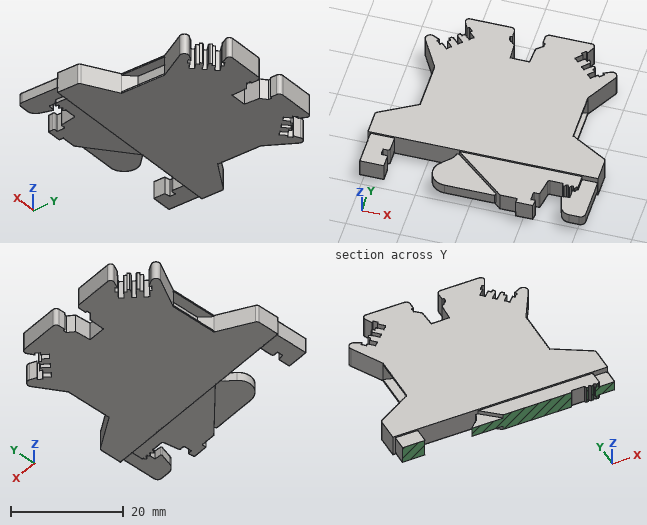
import cadquery as cq
import math


housing_thickness = 4.2
foot_thickness = 3.55
lever_thickness = 2.05

half_width = 21.25
waist_half_width = 14.15
housing_top = 31.4
shoulder_low = 4.8
waist_bottom = 8.9
waist_top = 18.5
shoulder_radius = 0.65

arm_tip = (-18.95, 26.9)
arm_tip_radius = 0.9
head_outer_x = -12.32
head_inner_x = -2.8
head_outer_radius = 0.7
head_inner_radius = 0.8

slot_floor_y = 24.2
slot_floor_half = 1.8
slot_mouth_half = 1.95
slot_mouth_y = 27.45
undercut_half = 3.2
undercut_bottom = 28.5
undercut_top = 29.25

comb_origin = (-11.3, 25.25)
comb_angle = math.radians(45)
comb_half = 2.8
comb_notch_half = 3.27
comb_notch_low = 1.57
comb_lip = 2.55
tooth_inner = 0.42
tooth_step = 1.15
tooth_outer = 1.8
tooth_shoulder = 1.5
tooth_tip = 2.0
tooth_chamfer = 0.25

pocket_depth = 2.05
pocket_top_drop = 0.65
pocket_bottom_rise = 2.12

tooth_pitch = 0.98
first_tooth_x = 15.8
rail_tooth_tip = -3.15
rail_tooth_root = -2.68
rail_tooth_half = 0.35
rail_tooth_tip_half = 0.1
rail_tooth_count = 3
rail_seat_y = -2.5
foot_right_x = 18.3

lever_center = (-4.9, -4.97)
lever_radius = 2.98
lever_neck_radius = 1.95
lever_end_x = 4.35
foot_slope_start = (-4.38, 0)
foot_slope_end = (5.5, -8.3)
hook_setback = 0.05
overlap = 0.42


def rounded_outline(corners):
    """Closed outline through (x, y, radius) corners; radius 0 leaves a sharp corner."""
    path = None
    count = len(corners)
    for i, (x, y, radius) in enumerate(corners):
        corner = cq.Vector(x, y)
        if radius == 0:
            stops = [corner]
        else:
            before = (cq.Vector(*corners[i - 1][:2]) - corner).normalized()
            after = (cq.Vector(*corners[(i + 1) % count][:2]) - corner).normalized()
            half_angle = before.getAngle(after) / 2
            tangent_length = radius / math.tan(half_angle)
            middle_distance = radius / math.sin(half_angle) - radius
            middle = corner + (before + after).normalized() * middle_distance
            stops = [corner + before * tangent_length, middle, corner + after * tangent_length]
        if path is None:
            path = cq.Workplane("XY").moveTo(stops[0].x, stops[0].y)
        else:
            path = path.lineTo(stops[0].x, stops[0].y)
        if radius > 0:
            path = path.threePointArc(stops[1].toTuple()[:2], stops[2].toTuple()[:2])
    return path.close()


def plate(outline, thickness):
    return outline.extrude(thickness / 2, both=True)


def sharp(points):
    return [(x, y, 0) for x, y in points]


def comb_corners():
    """Left comb from its upper lip to its lower lip."""
    half_comb = [
        (comb_half, comb_lip),
        (comb_notch_half, comb_lip),
        (comb_notch_half, comb_notch_low),
        (comb_half, comb_notch_low),
        (comb_half, 0),
        (tooth_outer, 0),
        (tooth_outer, tooth_shoulder),
        (tooth_step, tooth_shoulder),
        (tooth_step, tooth_tip),
        (tooth_inner + tooth_chamfer, tooth_tip),
        (tooth_inner, tooth_tip - tooth_chamfer),
        (tooth_inner, 0),
    ]
    full_comb = half_comb + [(-along, out) for along, out in reversed(half_comb)]
    c = math.cos(comb_angle)
    s = math.sin(comb_angle)
    x0, y0 = comb_origin
    return sharp((x0 + along * c - out * s, y0 + along * s + out * c) for along, out in full_comb)


def make_housing():
    slot_side = sharp([
        (-slot_floor_half, slot_floor_y),
        (-slot_mouth_half, slot_mouth_y),
        (-undercut_half, undercut_bottom),
        (-undercut_half, undercut_top),
        (head_inner_x, undercut_top),
    ])
    head = [
        (head_inner_x, housing_top, head_inner_radius),
        (head_outer_x, housing_top, head_outer_radius),
    ]
    flank = [
        (*arm_tip, arm_tip_radius),
        (-waist_half_width, waist_top, 0),
        (-waist_half_width, waist_bottom, 0),
        (-half_width, shoulder_low, shoulder_radius),
        (-half_width, 0, 0),
    ]
    left = slot_side + head + comb_corners() + flank
    right = [(-x, y, radius) for x, y, radius in reversed(left)]
    return plate(rounded_outline(left + right), housing_thickness)


def make_pocket():
    """Cutter for the tapered pocket in the left waist."""
    floor_x = pocket_depth - waist_half_width
    outline = rounded_outline(sharp([
        (-waist_half_width, waist_bottom),
        (floor_x, waist_bottom + pocket_bottom_rise),
        (floor_x, waist_top - pocket_top_drop),
        (-waist_half_width, waist_top),
    ]))
    return plate(outline, foot_thickness)


def make_fixed_foot():
    outer_x, inner_x, bottom = -20.8, -16.3, -7.0
    notch_x, notch_top, notch_bottom = -17.55, -3.15, -4.35
    notch_lip_drop = 0.2
    notch_radius = 0.42
    return plate(rounded_outline([
        (outer_x, overlap, 0),
        (outer_x, bottom, 0),
        (inner_x, bottom, 0),
        (inner_x, notch_bottom - notch_lip_drop, 0),
        (notch_x, notch_bottom, 0),
        (notch_x, notch_top, 0),
        (inner_x, notch_top, notch_radius),
        (inner_x, overlap, 0),
    ]), foot_thickness)


def rail_teeth_corners():
    corners = []
    for i in range(rail_tooth_count):
        x = first_tooth_x + i * tooth_pitch
        corners += [
            (x - rail_tooth_half, rail_tooth_root),
            (x - rail_tooth_tip_half, rail_tooth_tip),
            (x + rail_tooth_tip_half, rail_tooth_tip),
            (x + rail_tooth_half, rail_tooth_root),
        ]
    return sharp(corners)


def make_clamp_foot():
    """Broad foot with the sloped lever side, the stepped claw and the rail teeth."""
    toe_left, toe_right, toe_bottom = 8.63, 11.77, -9.2
    toe_lip_x = 11.95
    claw_x, claw_bottom, claw_top = 11.05, -7.8, -6.08
    claw_lip_x = 12.2
    claw_radius = 0.2
    seat_corner_x = 12.8
    seat_radius = 0.35
    left_side = sharp([
        (foot_slope_start[0], overlap),
        foot_slope_start,
        foot_slope_end,
        (toe_left, foot_slope_end[1]),
        (toe_left, toe_bottom),
        (toe_right, toe_bottom),
    ])
    claw = [
        (toe_lip_x, claw_bottom, claw_radius),
        (claw_x, claw_bottom, 0),
        (claw_x, claw_top, claw_radius),
        (claw_lip_x, claw_top, claw_radius),
        (seat_corner_x, rail_seat_y, seat_radius),
        (first_tooth_x - rail_tooth_half, rail_seat_y, 0),
    ]
    right_side = sharp([(foot_right_x, rail_tooth_root), (foot_right_x, overlap)])
    corners = left_side + claw + rail_teeth_corners() + right_side
    return plate(rounded_outline(corners), foot_thickness)


def make_lever():
    """Rounded release lever whose far end is buried in the clamp foot."""
    cx, cy = lever_center
    diagonal = math.sqrt(0.5)
    bulb_top = (cx - lever_radius * diagonal, cy + lever_radius * diagonal)
    neck_x = cx - lever_neck_radius * (1 - diagonal)
    neck_y = bulb_top[1] + neck_x - bulb_top[0]
    neck_end_y = neck_y + lever_neck_radius * diagonal
    end_chamfer = (0.25, 0.5)
    outline = (
        cq.Workplane("XY")
        .moveTo(cx, cy - lever_radius)
        .threePointArc((cx - lever_radius, cy), bulb_top)
        .lineTo(neck_x, neck_y)
        .tangentArcPoint((cx, neck_end_y), relative=False)
        .lineTo(cx, overlap)
        .lineTo(lever_end_x + end_chamfer[0], overlap)
        .lineTo(lever_end_x + end_chamfer[0], cy - lever_radius + end_chamfer[1])
        .lineTo(lever_end_x, cy - lever_radius)
        .close()
    )
    return plate(outline, lever_thickness)


def make_hook():
    """Thin hook at the right end that grips the rail from outside."""
    right_x = half_width - hook_setback
    bottom = -8.9
    bottom_left_x, bottom_left_radius = 17.0, 1.85
    bottom_right_radius = 0.95
    top_right_radius = 0.2
    barb_x, barb_bottom = 15.8, -4.95
    throat_x, throat_y = 17.4, -4.75
    barb_radius = 0.15
    return plate(rounded_outline([
        (right_x, 0, top_right_radius),
        (throat_x, 0, 0),
        (throat_x, throat_y, 0),
        (barb_x, barb_bottom, barb_radius),
        (bottom_left_x, bottom, bottom_left_radius),
        (right_x, bottom, bottom_right_radius),
    ]), lever_thickness)


pocket = make_pocket()
housing = make_housing().cut(pocket).cut(pocket.mirror("YZ"))
result = housing
for foot_part in (make_fixed_foot(), make_clamp_foot(), make_lever(), make_hook()):
    result = result.union(foot_part)